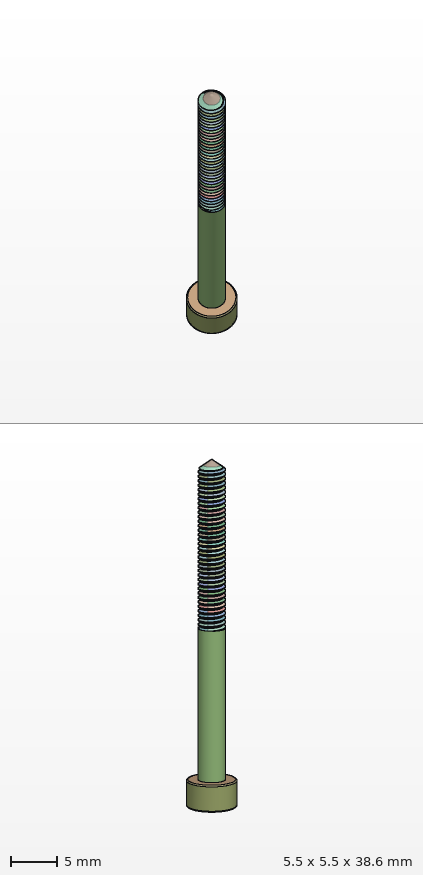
import cadquery as cq
import math

head_radius = 2.75
head_height = 3.0
head_chamfer = 0.15

total_length = 38.65
shank_radius = 1.5
shank_top = 19.85
tip_radius = 0.93
tip_height = 0.65
tip_base = total_length - tip_height
taper_height = 0.43
taper_slope = taper_height / (shank_radius - tip_radius)

thread_turns = 36.3
thread_pitch = (tip_base - shank_top) / thread_turns
thread_depth = 0.305
root_radius = shank_radius - thread_depth
crest_share = 1 / 8
root_share = 1 / 8
flank_rise = thread_pitch * (1 - crest_share - root_share) / 2
crest_rise = thread_pitch * crest_share

thread_profile = [
    (root_radius, 0),
    (shank_radius, flank_rise),
    (shank_radius, flank_rise + crest_rise),
    (root_radius, 2 * flank_rise + crest_rise),
    (root_radius, thread_pitch),
]

overrun_turns = 2
built_turns = math.ceil(thread_turns) + 2 * overrun_turns
thread_bottom = shank_top - overrun_turns * thread_pitch - flank_rise - crest_rise / 2

trim_clearance = 0.4


def make_head():
    """Cylindrical head with both rims chamfered."""
    return cq.Workplane("XY").circle(head_radius).extrude(head_height).edges().chamfer(head_chamfer)


def make_shank():
    """Plain shank, starting at the bottom of the head."""
    return cq.Workplane("XY").circle(shank_radius).extrude(shank_top)


def helix_turn(radius, height):
    """One turn of the thread helix, starting on the +X side at the given height."""
    return cq.Wire.makeHelix(thread_pitch, thread_pitch, radius).translate(cq.Vector(0, 0, height))


def make_spiral_end(height):
    """Two faces closing one end of the threaded rod: a spiral ramp and the step on its +X side."""
    axis = cq.Edge.makeLine(cq.Vector(0, 0, height), cq.Vector(0, 0, height + thread_pitch))
    ramp = cq.Face.makeRuledSurface(helix_turn(root_radius, height), cq.Wire.assembleEdges([axis]))
    step_points = [cq.Vector(0, 0, height)]
    for radius, rise in thread_profile:
        step_points.append(cq.Vector(radius, 0, height + rise))
    step_points.append(cq.Vector(0, 0, height + thread_pitch))
    step = cq.Face.makeFromWires(cq.Wire.makePolygon(step_points, close=True))
    return [ramp, step]


def make_thread():
    """Threaded rod that overruns the shank top and the tip, built from the helical faces of each turn."""
    faces = make_spiral_end(thread_bottom) + make_spiral_end(thread_bottom + built_turns * thread_pitch)
    for turn in range(built_turns):
        turn_bottom = thread_bottom + turn * thread_pitch
        helices = [helix_turn(radius, turn_bottom + rise) for radius, rise in thread_profile]
        for lower, upper in zip(helices, helices[1:]):
            faces.append(cq.Face.makeRuledSurface(lower, upper))
    return cq.Workplane(cq.Solid.makeSolid(cq.Shell.makeShell(faces)))


def make_point_trim():
    """Ring of material to remove so that the rod ends in a taper and a conical tip."""
    outer_radius = shank_radius + trim_clearance
    taper_bottom = tip_base - taper_slope * (outer_radius - tip_radius)
    trim_top = thread_bottom + (built_turns + overrun_turns) * thread_pitch
    return (
        cq.Workplane("XZ")
        .moveTo(0, total_length)
        .lineTo(tip_radius, tip_base)
        .lineTo(outer_radius, taper_bottom)
        .lineTo(outer_radius, trim_top)
        .lineTo(0, trim_top)
        .close()
        .revolve(360, (0, 0, 0), (0, 1, 0))
    )


def make_base_trim():
    """Cylinder of material to remove so that the thread starts flat on the shank top."""
    trim_height = (overrun_turns + 1) * thread_pitch
    trim_radius = shank_radius + trim_clearance
    return cq.Workplane("XY", origin=(0, 0, shank_top)).circle(trim_radius).extrude(-trim_height)


threaded_rod = make_thread().cut(make_point_trim()).cut(make_base_trim())
result = threaded_rod.union(make_shank()).union(make_head())